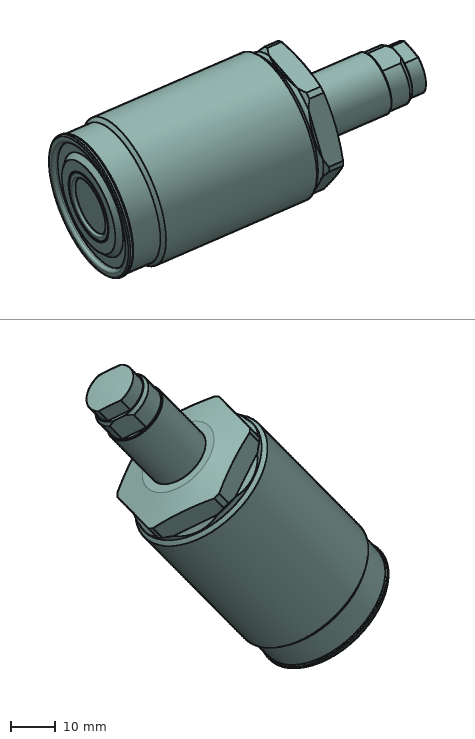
import cadquery as cq
import math

LENGTH = 85.0

BARREL_RADIUS = 18.0
NECK_RADIUS = 17.1
FRONT_SHOULDER_Y = 9.3
BACK_SHOULDER_Y = 48.8
SHOULDER_BEVEL = BARREL_RADIUS - NECK_RADIUS

HEX_FLAT = 16.0
HEX_BACK_Y = 58.0
HEX_CONE_RADIUS = 9.8
HEX_CONE_HEIGHT = 2.2
HEX_FRONT_Y = 51.1
HEX_SIDES = 6
RAMP_ANGLE = 45.0

BOSS_BASE_RADIUS = 12.7
BOSS_HEIGHT = 1.3
BOSS_TOP_RADIUS = BOSS_BASE_RADIUS - BOSS_HEIGHT
POCKET_DEPTH = 0.8

OUTER_RING_RADIUS = 17.3
OUTER_RING_BORE = 15.2
OUTER_RING_ROUND = 0.8
INNER_RING_RADIUS = 8.6
INNER_RING_BORE = 6.8
INNER_RING_ROUND = 0.5
RING_BEVEL = 0.3

SLEEVE_RADIUS = 7.6
SLEEVE_BACK_Y = 75.05
SLEEVE_BEVEL = 0.25

COLLAR_RADIUS = 7.2
COLLAR_FLAT = 6.5
COLLAR_BACK_Y = 80.9
COLLAR_BEVEL_WIDTH = 0.6
COLLAR_BEVEL_LENGTH = 1.0
TIP_RADIUS = 6.4
TIP_FLAT = 5.6
TIP_DOME_HEIGHT = 0.3


def revolve_about_y(profile):
    """Turn a closed (radius, y) profile about the Y axis."""
    return profile.close().revolve(360, (0, 0, 0), (0, 1, 0))


def turned(points):
    """Turn a polygon of (radius, y) points about the Y axis."""
    return revolve_about_y(cq.Workplane("XY").polyline(points))


def hexagon(y):
    """Hexagon outline across the Y axis at y, with flats facing +Z and -Z."""
    corner_diameter = 2 * HEX_FLAT / math.cos(math.pi / HEX_SIDES)
    return cq.Workplane("XZ", origin=(0, y, 0)).polygon(HEX_SIDES, corner_diameter)


def make_hex():
    """Hexagon with a long cone behind, a short bevel in front and rounded corners."""
    envelope = turned([
        (0, HEX_FRONT_Y),
        (NECK_RADIUS, HEX_FRONT_Y),
        (BARREL_RADIUS, HEX_FRONT_Y + SHOULDER_BEVEL),
        (BARREL_RADIUS, HEX_BACK_Y - HEX_CONE_HEIGHT),
        (HEX_CONE_RADIUS, HEX_BACK_Y),
        (0, HEX_BACK_Y),
    ])
    prism = hexagon(HEX_BACK_Y).extrude(HEX_BACK_Y - HEX_FRONT_Y)
    return prism.intersect(envelope)


def make_back_neck():
    """Round neck between barrel and hexagon, with ramps down to the hexagon flats."""
    neck_length = HEX_FRONT_Y - BACK_SHOULDER_Y
    ramps = hexagon(HEX_FRONT_Y).extrude(neck_length, taper=-RAMP_ANGLE)
    neck = turned([
        (0, BACK_SHOULDER_Y),
        (NECK_RADIUS, BACK_SHOULDER_Y),
        (NECK_RADIUS, HEX_FRONT_Y),
        (0, HEX_FRONT_Y),
    ])
    return neck.intersect(ramps)


def make_housing():
    barrel = turned([
        (0, POCKET_DEPTH),
        (INNER_RING_RADIUS, POCKET_DEPTH),
        (INNER_RING_RADIUS, 0),
        (BOSS_TOP_RADIUS, 0),
        (BOSS_BASE_RADIUS, BOSS_HEIGHT),
        (NECK_RADIUS, BOSS_HEIGHT),
        (NECK_RADIUS, FRONT_SHOULDER_Y - SHOULDER_BEVEL),
        (BARREL_RADIUS, FRONT_SHOULDER_Y),
        (BARREL_RADIUS, BACK_SHOULDER_Y),
        (NECK_RADIUS, BACK_SHOULDER_Y + SHOULDER_BEVEL),
        (0, BACK_SHOULDER_Y + SHOULDER_BEVEL),
    ])
    return barrel.union(make_back_neck()).union(make_hex())


def make_face_ring(radius, bore, thickness, round_radius):
    """Ring with its front at Y = 0: bevelled outer edges and a rounded front bore edge."""
    arc_inset = round_radius * (1 - math.sqrt(0.5))
    profile = (
        cq.Workplane("XY")
        .moveTo(bore, thickness)
        .lineTo(bore, round_radius)
        .threePointArc((bore + arc_inset, arc_inset), (bore + round_radius, 0))
        .lineTo(radius - RING_BEVEL, 0)
        .lineTo(radius, RING_BEVEL)
        .lineTo(radius, thickness - RING_BEVEL)
        .lineTo(radius - RING_BEVEL, thickness)
    )
    return revolve_about_y(profile)


def make_sleeve():
    return turned([
        (0, HEX_BACK_Y),
        (SLEEVE_RADIUS, HEX_BACK_Y),
        (SLEEVE_RADIUS, SLEEVE_BACK_Y - SLEEVE_BEVEL),
        (SLEEVE_RADIUS - SLEEVE_BEVEL, SLEEVE_BACK_Y),
        (0, SLEEVE_BACK_Y),
    ])


def with_flats(body, flat):
    """Keep the part of a turned body between two flats facing +Z and -Z."""
    slab = cq.Workplane("XY", origin=(0, LENGTH / 2, 0)).box(2 * BARREL_RADIUS, LENGTH, 2 * flat)
    return body.intersect(slab)


def make_gland():
    collar = turned([
        (0, SLEEVE_BACK_Y),
        (COLLAR_RADIUS, SLEEVE_BACK_Y),
        (COLLAR_RADIUS, COLLAR_BACK_Y - COLLAR_BEVEL_LENGTH),
        (COLLAR_RADIUS - COLLAR_BEVEL_WIDTH, COLLAR_BACK_Y),
        (0, COLLAR_BACK_Y),
    ])
    dome_edge_y = LENGTH - TIP_DOME_HEIGHT
    dome_radius = (TIP_RADIUS**2 + TIP_DOME_HEIGHT**2) / (2 * TIP_DOME_HEIGHT)
    tip = revolve_about_y(
        cq.Workplane("XY")
        .moveTo(0, COLLAR_BACK_Y)
        .lineTo(TIP_RADIUS, COLLAR_BACK_Y)
        .lineTo(TIP_RADIUS, dome_edge_y)
        .radiusArc((0, LENGTH), -dome_radius)
    )
    return with_flats(collar, COLLAR_FLAT).union(with_flats(tip, TIP_FLAT))


housing = make_housing()
outer_ring = make_face_ring(OUTER_RING_RADIUS, OUTER_RING_BORE, BOSS_HEIGHT, OUTER_RING_ROUND)
inner_ring = make_face_ring(INNER_RING_RADIUS, INNER_RING_BORE, POCKET_DEPTH, INNER_RING_ROUND)
sleeve = make_sleeve()
gland = make_gland()

result = cq.Compound.makeCompound([
    housing.val(),
    outer_ring.val(),
    inner_ring.val(),
    sleeve.val(),
    gland.val(),
])